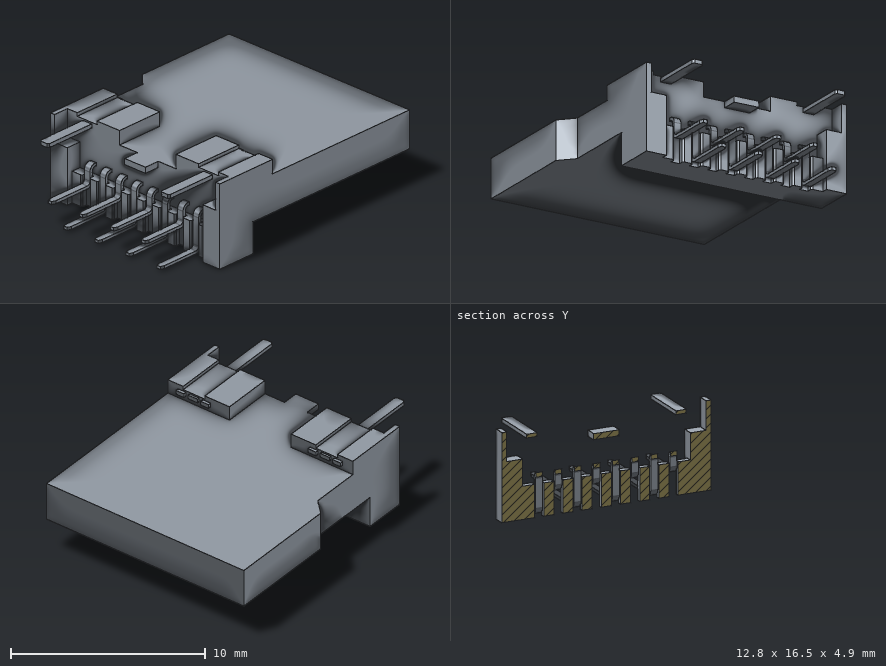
import cadquery as cq


housing_width = 12.0
housing_height = 4.9
upper_depth = 3.95
lower_depth = 2.5

card_bottom = 1.83
card_top = 4.07
card_back = 14.18
card_side_step = 0.8
step_start = 6.9

shoulder_gap = 4.0
groove_inner = 3.6
groove_outer = 5.0
groove_depth = 0.2

recess_depth = 0.95
side_wall = 0.3
ledge_height = 3.3
cavity_width = 9.6

tongue_width = 1.48
tongue_thickness = 0.35

comb_front = 0.36
pitch = 1.1
slot_width = 0.5
slot_back = 0.7
rib_chamfer = 0.09

pin_count = 8
pin_width = 0.4
pin_thickness = 0.18
bend_radius = 0.2
pin_top = 2.5
pin_face = 0.48
pin_end = -2.3
pin_anchor = 1.5
high_leg_bottom = 1.22
low_leg_bottom = 0.12
tip_length = 0.24
tip_inset = 0.08

tab_center = 4.28
tab_width = 0.62
tab_bottom = 4.38
tab_thickness = 0.23
tab_back = 4.08
tab_chamfer = 0.1
barb_offset = 0.8
barb_width = 0.52
barb_back = 4.13


def box(x0, x1, y0, y1, z0, z1):
    """Box given by its limits along each axis."""
    return cq.Workplane("XY").box(x1 - x0, y1 - y0, z1 - z0, centered=False).translate((x0, y0, z0))


def make_card():
    half = housing_width / 2
    outline = [
        (-half, comb_front),
        (half, comb_front),
        (half, card_back),
        (-half - card_side_step, card_back),
        (-half - card_side_step, step_start + card_side_step),
        (-half, step_start),
    ]
    thickness = card_top - card_bottom
    return cq.Workplane("XY", origin=(0, 0, card_bottom)).polyline(outline).close().extrude(thickness)


def make_housing():
    half = housing_width / 2
    lower = box(-half, half, 0, lower_depth, 0, card_bottom)
    upper = box(-half, half, 0, upper_depth, card_bottom, housing_height)
    return lower.union(upper)


def cut_shoulders(body):
    gap_half = shoulder_gap / 2
    body = body.cut(box(-gap_half, gap_half, 0, upper_depth, card_top, housing_height))
    groove_floor = housing_height - groove_depth
    for x0, x1 in ((-groove_outer, -groove_inner), (groove_inner, groove_outer)):
        body = body.cut(box(x0, x1, 0, upper_depth, groove_floor, housing_height))
    return body


def cut_recess(body):
    wide_half = housing_width / 2 - side_wall
    cavity_half = cavity_width / 2
    body = body.cut(box(-wide_half, wide_half, 0, recess_depth, ledge_height, housing_height))
    body = body.cut(box(-cavity_half, cavity_half, 0, recess_depth, card_bottom, ledge_height))
    return body.cut(box(-cavity_half, cavity_half, 0, comb_front, 0, card_bottom))


def make_tongue():
    half = tongue_width / 2
    return box(-half, half, 0, recess_depth, card_top - tongue_thickness, card_top)


def make_slot(x):
    """Vertical pin slot whose front corners are chamfered."""
    half = slot_width / 2
    mouth = half + rib_chamfer
    outline = [
        (x - half, slot_back),
        (x + half, slot_back),
        (x + half, comb_front + rib_chamfer),
        (x + mouth, comb_front),
        (x - mouth, comb_front),
        (x - half, comb_front + rib_chamfer),
    ]
    return cq.Workplane("XY").polyline(outline).close().extrude(card_bottom)


def make_pin(x, leg_bottom):
    """Z-bent strip: back into the housing, down the slot, then forward as a tapered leg."""
    outer = bend_radius + pin_thickness
    back_face = pin_face + pin_thickness
    leg_top = leg_bottom + pin_thickness
    tip_start = pin_end + tip_length
    strip = (
        cq.Workplane("YZ", origin=(x - pin_width / 2, 0, 0))
        .moveTo(pin_anchor, pin_top)
        .lineTo(pin_face + outer, pin_top)
        .radiusArc((pin_face, pin_top - outer), -outer)
        .lineTo(pin_face, leg_top + bend_radius)
        .radiusArc((pin_face - bend_radius, leg_top), bend_radius)
        .lineTo(tip_start, leg_top)
        .lineTo(tip_start, leg_bottom)
        .lineTo(back_face - outer, leg_bottom)
        .radiusArc((back_face, leg_bottom + outer), -outer)
        .lineTo(back_face, pin_top - outer)
        .radiusArc((back_face + bend_radius, pin_top - pin_thickness), bend_radius)
        .lineTo(pin_anchor, pin_top - pin_thickness)
        .close()
        .extrude(pin_width)
    )
    half = pin_width / 2
    end_half = half - tip_inset
    tip_outline = [
        (x - half, tip_start),
        (x + half, tip_start),
        (x + end_half, pin_end),
        (x - end_half, pin_end),
    ]
    tip_base = cq.Workplane("XY", origin=(0, 0, leg_bottom))
    tip = tip_base.polyline(tip_outline).close().extrude(pin_thickness)
    return strip.union(tip)


def make_tab(x):
    """Flat tab with a chamfered tip and two barbs behind the shoulder."""
    half = tab_width / 2
    tab_top = tab_bottom + tab_thickness
    tab = box(x - half, x + half, pin_end, tab_back, tab_bottom, tab_top)
    tab = tab.edges("|Z and <Y").chamfer(tab_chamfer)
    for center in (x - barb_offset, x + barb_offset):
        left = center - barb_width / 2
        tab = tab.union(box(left, left + barb_width, recess_depth, barb_back, tab_bottom, tab_top))
    return tab


body = cut_shoulders(make_housing()).union(make_card())
body = cut_recess(body).union(make_tongue())

pin_positions = [(i - (pin_count - 1) / 2) * pitch for i in range(pin_count)]
for x in pin_positions:
    body = body.cut(make_slot(x))

for i, x in enumerate(pin_positions):
    leg_bottom = high_leg_bottom if i % 2 == 0 else low_leg_bottom
    body = body.union(make_pin(x, leg_bottom))

for x in (-tab_center, tab_center):
    body = body.union(make_tab(x))

result = body